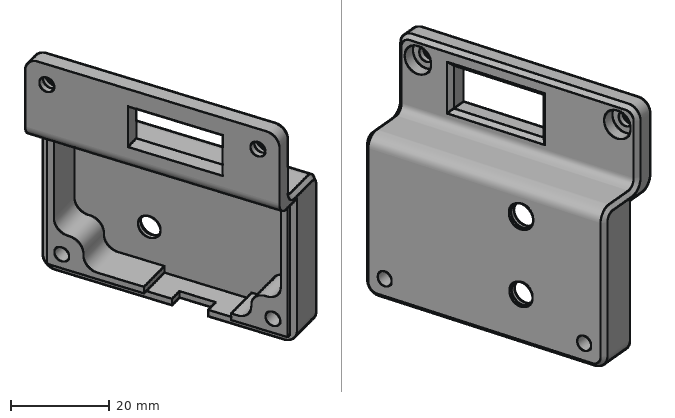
import cadquery as cq
import math

width = 59.0
depth = 16.65
height = 55.2

wall = 1.6
flange_thickness = 4.6
shelf_top = 37.0
shelf_bottom = shelf_top - wall
rim_front = 7.4
lip_height = 1.0
lip_front = rim_front - lip_height
outer_radius = 3.0
bend_radius = 2.0
back_chamfer = 1.0

pocket_back = depth - wall
side_wall = 2 * wall
boss_size = 10.05
pocket_radius = 3.25

recess_left, recess_right = -5.4, 14.8
notch_left, notch_right = 0.55, 8.9
notch_depth = 3.2

screw_diameter = 3.4
screw_inset = 5.0
screw_seat = 1.6
head_diameter = 6.5

window_left, window_right = -5.65, 16.35
window_bottom, window_top = 41.05, 51.0

port_x = -8.95
port_flare_depth = 0.5
port_flare = 0.25
ports = [(29.6, 5.5), (11.6, 5.2)]


def box_between(x_range, y_range, z_range):
    """Axis-aligned box given by its limits on each axis."""
    sizes = [high - low for low, high in (x_range, y_range, z_range)]
    corner = (x_range[0], y_range[0], z_range[0])
    return cq.Workplane("XY").box(*sizes, centered=False).translate(corner)


def hole_along_y(x, z, diameter, start=0):
    """Cylinder from depth `start` out through the rear."""
    centre = cq.Workplane("XZ", origin=(x, start, z))
    return centre.circle(diameter / 2).extrude(-depth)


def arc_mid(centre_y, centre_z, radius, angle):
    """Point on a circle in the YZ plane, angle in degrees from +Y."""
    turn = math.radians(angle)
    return (centre_y + radius * math.cos(turn), centre_z + radius * math.sin(turn))


def stepped_body():
    """Side outline swept across the width, with rounded outer corners."""
    front_bend = arc_mid(outer_radius, shelf_bottom + outer_radius, outer_radius, 225)
    back_bend = arc_mid(depth - outer_radius, shelf_top - outer_radius, outer_radius, 45)
    bend_y = flange_thickness + bend_radius
    bend_z = shelf_top + bend_radius
    inner_bend = arc_mid(bend_y, bend_z, bend_radius, 225)
    outline = (
        cq.Workplane("YZ")
        .moveTo(0, height)
        .lineTo(0, shelf_bottom + outer_radius)
        .threePointArc(front_bend, (outer_radius, shelf_bottom))
        .lineTo(rim_front, shelf_bottom)
        .lineTo(rim_front, 0)
        .lineTo(depth, 0)
        .lineTo(depth, shelf_top - outer_radius)
        .threePointArc(back_bend, (depth - outer_radius, shelf_top))
        .lineTo(bend_y, shelf_top)
        .threePointArc(inner_bend, (flange_thickness, bend_z))
        .lineTo(flange_thickness, height)
        .close()
    )
    body = outline.extrude(width / 2, both=True)
    body = body.faces(">Z").edges("|Y").fillet(outer_radius)
    return body.faces("<Z").edges("|Y").fillet(outer_radius)


def chamfer_back(body):
    """Bevel the closed border of the rear surface, from flange top to underside."""

    def is_rear(face):
        on_shelf = abs(face.Center().z - shelf_top) < 0.005 and face.geomType() == "PLANE"
        return on_shelf or face.normalAt().y > 0.1

    rear_edges = [edge for face in body.faces().vals() if is_rear(face) for edge in face.Edges()]
    border = [edge for edge in rear_edges if sum(edge.isSame(other) for other in rear_edges) == 1]
    return body.newObject(border).chamfer(back_chamfer)


def lip():
    """Raised land inside the outer rim."""
    reach = width / 2 - wall
    return box_between((-reach, reach), (lip_front, rim_front), (wall, shelf_bottom))


def pocket():
    """Cavity open to the front, leaving bosses in the two lower corners."""
    outer_x = width / 2 - side_wall
    boss_x = width / 2 - boss_size
    outline = (
        cq.Workplane("XZ", origin=(0, lip_front, 0))
        .moveTo(-outer_x, shelf_bottom)
        .lineTo(outer_x, shelf_bottom)
        .lineTo(outer_x, boss_size)
        .lineTo(boss_x, boss_size)
        .lineTo(boss_x, side_wall)
        .lineTo(-boss_x, side_wall)
        .lineTo(-boss_x, boss_size)
        .lineTo(-outer_x, boss_size)
        .close()
    )
    return outline.extrude(lip_front - pocket_back).edges("|Y").fillet(pocket_radius)


def window():
    """Rectangular opening through the flange, bevelled at the rear."""
    window_width = window_right - window_left
    window_height = window_top - window_bottom
    rear_centre = ((window_left + window_right) / 2, flange_thickness, (window_bottom + window_top) / 2)
    bevel = (
        cq.Workplane("XZ", origin=rear_centre)
        .rect(window_width + 2 * back_chamfer, window_height + 2 * back_chamfer)
        .workplane(offset=back_chamfer)
        .rect(window_width, window_height)
        .loft(ruled=True)
    )
    opening = box_between((window_left, window_right), (0, flange_thickness), (window_bottom, window_top))
    return opening.union(bevel)


def port_flare_cone(z, diameter):
    """Cone that widens a port where it leaves the rear face."""
    start = (port_x, depth - port_flare_depth, z)
    radius = diameter / 2
    cone = cq.Solid.makeCone(radius, radius + port_flare, port_flare_depth, start, (0, 1, 0))
    return cq.Workplane(cone)


body = chamfer_back(stepped_body()).union(lip())
body = body.cut(pocket())

body = body.cut(box_between((recess_left, recess_right), (lip_front, pocket_back), (wall, boss_size)))
body = body.cut(box_between((notch_left, notch_right), (lip_front, rim_front + notch_depth), (0, wall)))

body = body.cut(window())

upper_screw_z = height - screw_inset
for side in (-1, 1):
    screw_x = side * (width / 2 - screw_inset)
    for screw_z in (screw_inset, upper_screw_z):
        body = body.cut(hole_along_y(screw_x, screw_z, screw_diameter))
    body = body.cut(hole_along_y(screw_x, upper_screw_z, head_diameter, screw_seat))

for port_z, port_diameter in ports:
    body = body.cut(hole_along_y(port_x, port_z, port_diameter))
    body = body.cut(port_flare_cone(port_z, port_diameter))

result = body